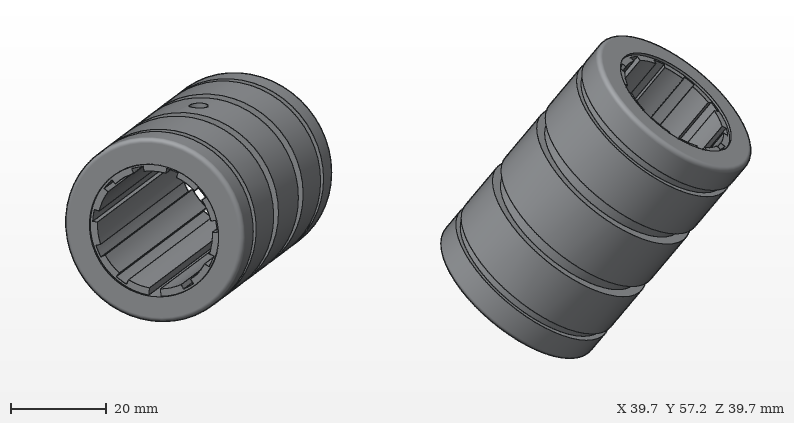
import cadquery as cq
import math

LENGTH = 57.15
HOUSING_RADIUS = 39.6875 / 2
BORE_RADIUS = 28.575 / 2
END_FILLET = 1.0

CUT_CLEARANCE = 1.0

RETAINING_GROOVE = {"offset": 21.55, "width": 1.9, "radius": 37.4 / 2}
SEAL_GROOVE = {"offset": 7.9, "width": 3.05, "radius": 35.6 / 2}

OIL_HOLE_DIAMETER = 3.97

LINER_RECESS = 0.58
LINER_LENGTH = LENGTH - 2 * LINER_RECESS
LAND_RADIUS = 25.4 / 2
CHANNEL_FLOOR_RADIUS = 13.78
CHANNEL_COUNT = 11
CHANNEL_PITCH = 360 / CHANNEL_COUNT
CHANNEL_ANGLE = CHANNEL_PITCH / 3
SPLIT_DIRECTION = -90.0


def cross_section(length, offset=0.0):
    """Workplane for a section extruded over a length along Y whose middle lies at Y = offset."""
    return cq.Workplane("XZ", origin=(0, offset + length / 2, 0))


def tube(outer_radius, inner_radius, length, offset=0.0):
    """Tube along Y whose middle lies at Y = offset."""
    return cross_section(length, offset).circle(outer_radius).circle(inner_radius).extrude(length)


def polar(radius, angle):
    """Point at a radius and an angle in degrees from +X towards +Z."""
    return (radius * math.cos(math.radians(angle)), radius * math.sin(math.radians(angle)))


def ring_groove(groove, side):
    """Material removed by one outer ring groove."""
    return tube(HOUSING_RADIUS + CUT_CLEARANCE, groove["radius"], groove["width"], side * groove["offset"])


def make_housing():
    body = cross_section(LENGTH).circle(HOUSING_RADIUS).extrude(LENGTH)
    body = body.faces("<Y or >Y").edges().fillet(END_FILLET)
    bore = cross_section(LENGTH).circle(BORE_RADIUS).extrude(LENGTH)
    body = body.cut(bore)
    for groove in (RETAINING_GROOVE, SEAL_GROOVE):
        for side in (-1, 1):
            body = body.cut(ring_groove(groove, side))
    oil_hole = cq.Workplane("XY").circle(OIL_HOLE_DIAMETER / 2).extrude(HOUSING_RADIUS)
    return body.cut(oil_hole)


def channel(direction, floor_radius):
    """Lengthwise channel with radial walls and a round floor, open towards the axis."""
    start = direction - CHANNEL_ANGLE / 2
    end = direction + CHANNEL_ANGLE / 2
    return (
        cross_section(LINER_LENGTH)
        .moveTo(0, 0)
        .lineTo(*polar(floor_radius, start))
        .threePointArc(polar(floor_radius, direction), polar(floor_radius, end))
        .close()
        .extrude(LINER_LENGTH)
    )


def make_liner():
    body = tube(BORE_RADIUS, LAND_RADIUS, LINER_LENGTH)
    for index in range(1, CHANNEL_COUNT):
        body = body.cut(channel(SPLIT_DIRECTION + index * CHANNEL_PITCH, CHANNEL_FLOOR_RADIUS))
    return body.cut(channel(SPLIT_DIRECTION, BORE_RADIUS))


housing = make_housing()
liner = make_liner()

result = cq.Compound.makeCompound([housing.val(), liner.val()])